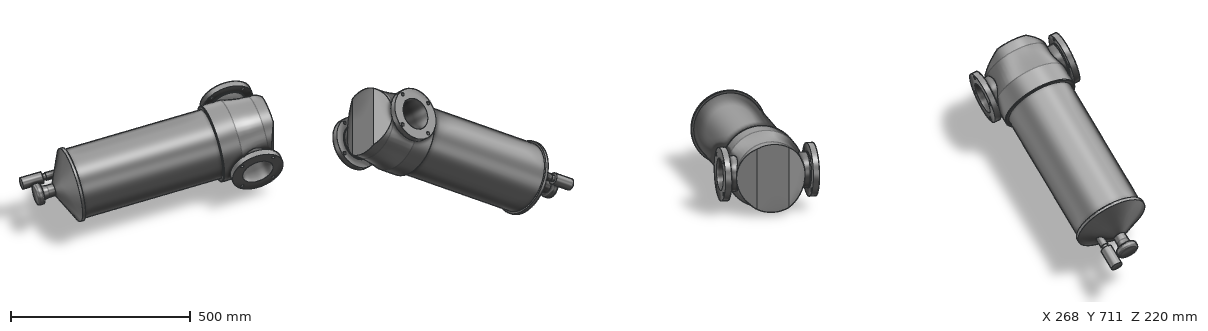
import cadquery as cq

total_length = 711.0

cap_diameter = 195.5
cap_end = 31.0
cap_face_width = 91.0
cap_slant_depth = 25.0
flare_sagitta = 2.0
collar_diameter = 220.0
collar_start = 110.0
collar_end = 169.0
collar_chamfer = 2.0

tube_diameter = 200.0
rim_diameter = 212.0
rim_start = 576.5
rim_end = 586.0
cone_end = 632.5

neck_diameter = 35.0
neck_end = 652.0
neck_flare_diameter = 40.5
knob_diameter = 61.0
knob_start = 668.0
knob_end = 688.0
knob_fillet = 6.0

valve_x = -50.5
valve_pipe_diameter = 22.0
valve_pipe_start = 597.0
valve_pipe_end = 639.0
valve_stem_diameter = 18.5
valve_body_diameter = 33.5
valve_body_start = 650.0

port_station = 77.5
port_span = 268.0
port_diameter = 99.5
port_bore = 90.0
port_weld = 1.5
port_weld_length = 3.5
flange_diameter = 150.0
flange_thickness = 18.0
bolt_hole_diameter = 10.0
bolt_pitch = 92.5
bolts_per_side = 2


def rod(diameter, start, end, x=0):
    """Cylinder along the housing direction between two stations."""
    plane = cq.Plane(origin=(x, -start, 0), xDir=(1, 0, 0), normal=(0, -1, 0))
    return cq.Workplane(plane).circle(diameter / 2).extrude(end - start)


def port_rod(diameter, start, end):
    """Cylinder along the port axis between two X positions."""
    plane = cq.Plane(origin=(start, -port_station, 0), xDir=(0, 1, 0), normal=(1, 0, 0))
    return cq.Workplane(plane).circle(diameter / 2).extrude(end - start)


def make_housing():
    """Head, bowl and drain neck turned as one profile."""
    cap_radius = cap_diameter / 2
    collar_radius = collar_diameter / 2
    return (
        cq.Workplane("XY")
        .lineTo(cap_radius, 0)
        .lineTo(cap_radius, -cap_end)
        .sagittaArc((collar_radius, -collar_start), -flare_sagitta)
        .lineTo(collar_radius, -collar_end + collar_chamfer)
        .lineTo(collar_radius - collar_chamfer, -collar_end)
        .lineTo(tube_diameter / 2, -collar_end)
        .lineTo(tube_diameter / 2, -rim_start)
        .lineTo(rim_diameter / 2, -rim_start)
        .lineTo(rim_diameter / 2, -rim_end)
        .lineTo(neck_diameter / 2, -cone_end)
        .lineTo(neck_diameter / 2, -neck_end)
        .lineTo(neck_flare_diameter / 2, -knob_start)
        .lineTo(0, -knob_start)
        .close()
        .revolve(360, (0, 0, 0), (0, 1, 0))
    )


def make_cap_cut():
    """Wedge that slants the +X side of the cap."""
    return (
        cq.Workplane("XY")
        .moveTo(cap_face_width / 2, 0)
        .lineTo(cap_diameter / 2, -cap_slant_depth)
        .lineTo(cap_diameter / 2, 0)
        .close()
        .extrude(cap_diameter / 2, both=True)
    )


def make_knob():
    return rod(knob_diameter, knob_start, knob_end).edges().fillet(knob_fillet)


def make_valve():
    pipe = rod(valve_pipe_diameter, valve_pipe_start, valve_pipe_end, valve_x)
    stem = rod(valve_stem_diameter, valve_pipe_end, valve_body_start, valve_x)
    body = rod(valve_body_diameter, valve_body_start, total_length, valve_x)
    return pipe.union(stem).union(body)


def make_port():
    """Port on the +X side: pipe, weld ring and drilled flange."""
    flange_back = port_span / 2 - flange_thickness
    weld_diameter = port_diameter + 2 * port_weld
    flange = port_rod(flange_diameter, flange_back, port_span / 2)
    flange = (
        flange.faces(">X")
        .workplane(origin=(0, -port_station, 0))
        .rarray(bolt_pitch, bolt_pitch, bolts_per_side, bolts_per_side)
        .hole(bolt_hole_diameter)
    )
    weld = port_rod(weld_diameter, flange_back - port_weld_length, flange_back)
    return port_rod(port_diameter, 0, flange_back).union(weld).union(flange)


cap_cut = make_cap_cut()
port = make_port()
result = make_housing().cut(cap_cut).cut(cap_cut.mirror("YZ"))
result = result.union(port).union(port.mirror("YZ"))
result = result.cut(port_rod(port_bore, -port_span / 2, port_span / 2))
result = result.union(make_knob()).union(make_valve())